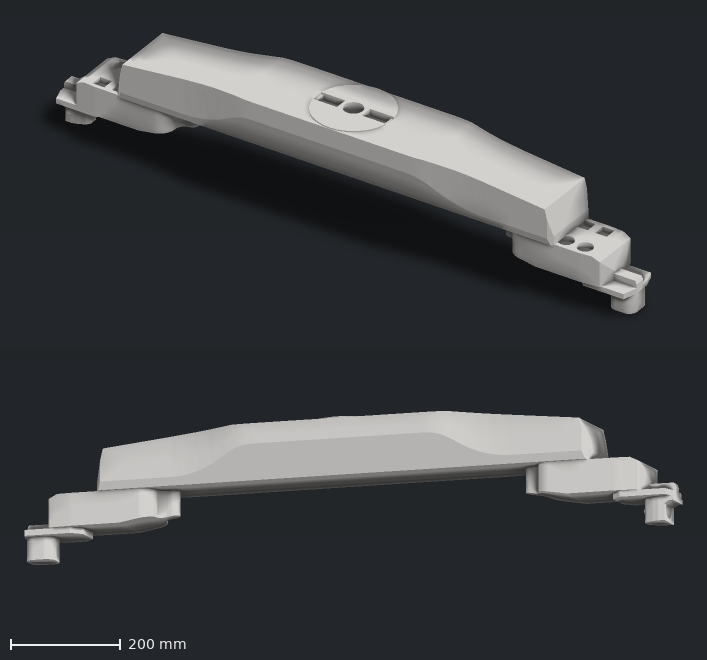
import cadquery as cq
import math


overall_height = 221.0
overall_length = 1257.1

beam_top = 102.0
beam_half_width = 82.0
beam_end_half_width = 66.25
beam_half_length = 474.5
beam_corner_chamfer = 9.0
beam_end_top_z = 76.0
beam_end_top_x = 460.5
beam_end_strip_top = 18.6
ridge_x = 206.5
swell_middle_x = 221.0
swell_start_x = 326.5
swell_end_x = 168.5
flank_low_z = 15.0
flank_high_z = 64.0

disc_diameter = 162.0
disc_top = 104.5
disc_thickness = 40.0
disc_bottom = disc_top - disc_thickness
disc_bore = 40.0
slot_width = 27.5
slot_inner_x = 27.0
slot_outer_x = 74.0
slot_depth = 16.0
slot_shelf_depth = 4.0

arm_half_width = 55.0
arm_bottom = -61.0
arm_tip_bottom = -45.0
arm_taper_start_x = -433.0
arm_tip_x = -335.2
arm_nose_x = -579.5
arm_nose_half_width = 14.0
arm_front_x = -571.0
arm_front_half_width = 51.0
arm_front_top_z = -8.0
arm_slope_bottom_z = -42.0
arm_bevel_x = -554.0
arm_cheek_x = -528.0
arm_cheek_blend_length = 4.0
arm_corner_fillet = 3.5
shoulder_x = -397.0
shoulder_radius = 27.0
neck_radius = 14.5
neck_half_width = 12.5
tip_corner_radius = 11.5
pocket_depth = 12.0
pocket_xs = (-526.0, -484.5)
round_pocket_diameter = 32.0
round_pocket_y = 31.0
square_pocket_side = 26.0
square_pocket_y = -33.5

plate_bottom = -72.0
plate_tip_x = -overall_length / 2
plate_front_x = -620.0
plate_side_end_x = -532.0
plate_inner_x = -513.0
plate_half_width = 45.4
plate_center_y = 2.0
rib_top = -46.0
rib_center_y = 6.0
rib_width = 22.0
rib_bevel_length = 3.0
rib_bevel_height = 7.0
plate_tip_half_width = rib_center_y + rib_width / 2

block_bottom = disc_top - overall_height
block_front_x = -612.0
block_back_x = -568.5
block_half_width = 26.0
block_cheek_end_x = -600.0
block_taper_middle_x = -588.5
block_taper_middle_half_width = 23.0
block_taper_end_x = -574.0
block_taper_end_half_width = 16.0
block_back_half_width = 8.0
lip_bottom = -80.0
lip_root_z = -86.0
lip_flat_x = -621.0
block_recess_diameter = 32.0
block_recess_depth = 2.0
cross_hole_diameter = 9.5
cross_hole_x = -604.5
cross_hole_depth = 10.0
pin_diameter = 10.0
pin_length = 3.0
pin_z = -94.0

post_bottom = -114.0
post_center_x = 600.0
post_length_x = 54.0
post_width_y = 55.0
post_corner_radius = 17.5


def tangent_arc_middle(start, end, start_angle):
    """Middle point of the arc from start to end that leaves start at start_angle."""
    dx = end[0] - start[0]
    dy = end[1] - start[1]
    half_turn = math.atan2(dy, dx) - start_angle
    sagitta = math.hypot(dx, dy) / 2 * math.tan(half_turn / 2)
    chord_angle = math.atan2(dy, dx)
    return (
        (start[0] + end[0]) / 2 + sagitta * math.sin(chord_angle),
        (start[1] + end[1]) / 2 - sagitta * math.cos(chord_angle),
    )


def make_beam_blank():
    """Plan outline of the beam with its S-curved sides, extruded to full height."""
    swell_rate = (beam_half_width - beam_end_half_width) / (swell_start_x - swell_end_x)
    middle_half_width = beam_half_width - swell_rate * (swell_middle_x - swell_end_x)

    start = (-swell_start_x, beam_end_half_width)
    middle = (-swell_middle_x, middle_half_width)
    end = (-swell_end_x, beam_half_width)
    middle_angle = 2 * math.atan(swell_rate)
    first_middle = tangent_arc_middle(start, middle, 0.0)
    second_middle = tangent_arc_middle(middle, end, middle_angle)

    corner_x = beam_half_length - beam_corner_chamfer
    corner_y = beam_end_half_width - beam_corner_chamfer
    quarter = (
        cq.Workplane("XY")
        .moveTo(0, 0)
        .lineTo(-beam_half_length, 0)
        .lineTo(-beam_half_length, corner_y)
        .lineTo(-corner_x, beam_end_half_width)
        .lineTo(*start)
        .threePointArc(first_middle, middle)
        .threePointArc(second_middle, end)
        .lineTo(0, beam_half_width)
        .close()
        .extrude(beam_top)
    )
    half = quarter.union(quarter.mirror("XZ"))
    return half.union(half.mirror("YZ"))


def make_beam():
    side_half = [
        (beam_half_length, 0),
        (beam_half_length, beam_end_strip_top),
        (beam_end_top_x, beam_end_top_z),
        (ridge_x, beam_top),
    ]
    side_outline = side_half + [(-x, z) for x, z in reversed(side_half)]
    side_prism = (
        cq.Workplane("XZ").polyline(side_outline).close().extrude(beam_half_width, both=True)
    )

    flank_slope = (beam_half_width - beam_end_half_width) / (flank_high_z - flank_low_z)
    bottom_half_width = beam_end_half_width - flank_slope * flank_low_z
    section_half = [
        (bottom_half_width, 0),
        (beam_half_width, flank_high_z),
        (beam_half_width, beam_top),
    ]
    section_outline = section_half + [(-y, z) for y, z in reversed(section_half)]
    section_prism = (
        cq.Workplane("YZ").polyline(section_outline).close().extrude(beam_half_length, both=True)
    )

    disc_recess = (
        cq.Workplane("XY")
        .workplane(offset=disc_bottom)
        .circle(disc_diameter / 2)
        .extrude(disc_thickness)
    )
    return make_beam_blank().intersect(side_prism).intersect(section_prism).cut(disc_recess)


def make_disc():
    disc = (
        cq.Workplane("XY")
        .workplane(offset=disc_bottom)
        .circle(disc_diameter / 2)
        .circle(disc_bore / 2)
        .extrude(disc_thickness)
    )
    slot_length = slot_outer_x - slot_inner_x
    slot_center_x = (slot_outer_x + slot_inner_x) / 2
    shelf_length = disc_diameter / 2 - slot_outer_x
    shelf_center_x = slot_outer_x + shelf_length / 2
    top = cq.Workplane("XY").workplane(offset=disc_top)
    slots = (
        top.pushPoints([(-slot_center_x, 0), (slot_center_x, 0)])
        .rect(slot_length, slot_width)
        .extrude(-slot_depth)
    )
    shelves = (
        top.pushPoints([(-shelf_center_x, 0), (shelf_center_x, 0)])
        .rect(shelf_length, slot_width)
        .extrude(-slot_shelf_depth)
    )
    return disc.cut(slots).cut(shelves)


def make_arm_plan():
    """Plan outline of the arm: blunt nose, tapered cheeks, rounded shoulders and round tip."""
    diagonal = math.sqrt(0.5)
    shoulder_end = (shoulder_x + shoulder_radius, arm_half_width - shoulder_radius)
    shoulder_middle = (
        shoulder_x + shoulder_radius * diagonal,
        shoulder_end[1] + shoulder_radius * diagonal,
    )
    neck_start = (shoulder_end[0], neck_half_width + neck_radius)
    neck_end = (shoulder_end[0] + neck_radius, neck_half_width)
    neck_middle = (
        neck_end[0] - neck_radius * diagonal,
        neck_start[1] - neck_radius * diagonal,
    )
    tip_start = (arm_tip_x - tip_corner_radius, neck_half_width)
    tip_end = (arm_tip_x, neck_half_width - tip_corner_radius)
    tip_middle = (
        tip_start[0] + tip_corner_radius * diagonal,
        tip_end[1] + tip_corner_radius * diagonal,
    )

    cheek_angle = math.atan2(arm_half_width - arm_front_half_width, arm_cheek_x - arm_front_x)
    blend_start = (
        arm_cheek_x - arm_cheek_blend_length * math.cos(cheek_angle),
        arm_half_width - arm_cheek_blend_length * math.sin(cheek_angle),
    )
    blend_end = (arm_cheek_x + arm_cheek_blend_length, arm_half_width)
    blend_middle = tangent_arc_middle(blend_start, blend_end, cheek_angle)

    half = (
        cq.Workplane("XY")
        .workplane(offset=arm_bottom)
        .moveTo(arm_nose_x, 0)
        .lineTo(arm_nose_x, arm_nose_half_width)
        .lineTo(arm_front_x, arm_front_half_width)
        .lineTo(*blend_start)
        .threePointArc(blend_middle, blend_end)
        .lineTo(shoulder_x, arm_half_width)
        .threePointArc(shoulder_middle, shoulder_end)
        .lineTo(*neck_start)
        .threePointArc(neck_middle, neck_end)
        .lineTo(*tip_start)
        .threePointArc(tip_middle, tip_end)
        .lineTo(arm_tip_x, 0)
        .close()
        .extrude(-arm_bottom)
    )
    arm = half.union(half.mirror("XZ"))

    def is_front_corner(edge):
        center = edge.Center()
        at_front = math.isclose(center.x, arm_front_x)
        return at_front and math.isclose(abs(center.y), arm_front_half_width)

    return arm.edges("|Z").filter(is_front_corner).fillet(arm_corner_fillet)


def make_arm():
    side_outline = [
        (arm_nose_x, arm_bottom),
        (arm_nose_x, arm_slope_bottom_z),
        (arm_front_x, arm_front_top_z),
        (arm_bevel_x, 0),
        (arm_tip_x, 0),
        (arm_tip_x, arm_tip_bottom),
        (arm_taper_start_x, arm_bottom),
    ]
    side_prism = (
        cq.Workplane("XZ").polyline(side_outline).close().extrude(arm_half_width, both=True)
    )
    round_pockets = (
        cq.Workplane("XY")
        .pushPoints([(x, round_pocket_y) for x in pocket_xs])
        .circle(round_pocket_diameter / 2)
        .extrude(-pocket_depth)
    )
    square_pockets = (
        cq.Workplane("XY")
        .pushPoints([(x, square_pocket_y) for x in pocket_xs])
        .rect(square_pocket_side, square_pocket_side)
        .extrude(-pocket_depth)
    )
    return make_arm_plan().intersect(side_prism).cut(round_pockets).cut(square_pockets)


def make_plate():
    """Plate under the arm, with a rib on top that runs from its tip to the arm's nose."""
    left = plate_center_y + plate_half_width
    right = plate_center_y - plate_half_width
    inner_chamfer = plate_inner_x - plate_side_end_x
    plan = [
        (plate_tip_x, plate_tip_half_width),
        (plate_front_x, left),
        (plate_side_end_x, left),
        (plate_inner_x, left - inner_chamfer),
        (plate_inner_x, right + inner_chamfer),
        (plate_side_end_x, right),
        (plate_front_x, right),
        (plate_tip_x, -plate_tip_half_width),
    ]
    plate = (
        cq.Workplane("XY")
        .workplane(offset=plate_bottom)
        .polyline(plan)
        .close()
        .extrude(arm_bottom - plate_bottom)
    )
    rib_outline = [
        (plate_tip_x, plate_bottom),
        (plate_tip_x, rib_top - rib_bevel_height),
        (plate_tip_x + rib_bevel_length, rib_top),
        (arm_nose_x, rib_top),
        (arm_nose_x, plate_bottom),
    ]
    rib = (
        cq.Workplane("XZ", origin=(0, rib_center_y, 0))
        .polyline(rib_outline)
        .close()
        .extrude(rib_width / 2, both=True)
    )
    return plate.union(rib)


def make_coupling_block():
    """Block with a tapered back, a lip under the plate tip, a round recess, a cross hole and a pin end."""
    half_plan = [
        (block_front_x, block_half_width),
        (block_cheek_end_x, block_half_width),
        (block_taper_middle_x, block_taper_middle_half_width),
        (block_taper_end_x, block_taper_end_half_width),
        (block_back_x, block_back_half_width),
    ]
    plan = half_plan + [(x, -y) for x, y in reversed(half_plan)]
    body = (
        cq.Workplane("XY", origin=(0, plate_center_y, block_bottom))
        .polyline(plan)
        .close()
        .extrude(plate_bottom - block_bottom)
    )
    lip_outline = [
        (block_front_x, plate_bottom),
        (plate_tip_x, plate_bottom),
        (plate_tip_x, lip_bottom),
        (lip_flat_x, lip_bottom),
        (block_front_x, lip_root_z),
    ]
    lip = (
        cq.Workplane("XZ", origin=(0, plate_center_y, 0))
        .polyline(lip_outline)
        .close()
        .extrude(block_half_width, both=True)
    )
    recess = (
        cq.Workplane("YZ", origin=(block_front_x, plate_center_y, pin_z))
        .circle(block_recess_diameter / 2)
        .extrude(block_recess_depth)
    )
    pin_end = (
        cq.Workplane("YZ", origin=(block_back_x - pin_length, plate_center_y, pin_z))
        .circle(pin_diameter / 2)
        .extrude(2 * pin_length)
    )
    cross_hole = (
        cq.Workplane("XZ", origin=(cross_hole_x, plate_center_y - block_half_width, pin_z))
        .circle(cross_hole_diameter / 2)
        .extrude(-cross_hole_depth)
    )
    return body.cut(recess).cut(cross_hole).union(lip).union(pin_end)


def make_coupling_post():
    return (
        cq.Workplane("XY")
        .workplane(offset=post_bottom)
        .center(post_center_x, -plate_center_y)
        .rect(post_length_x, post_width_y)
        .extrude(plate_bottom - post_bottom)
        .edges("|Z")
        .fillet(post_corner_radius)
    )


def at_end(body, turn):
    """Turn a body made for the -X end about Z to its own end."""
    return body.rotate((0, 0, 0), (0, 0, 1), turn)


beam = make_beam()
disc = make_disc()
bodies = [beam.val(), disc.val()]
for end_turn in (0, 180):
    bodies.append(at_end(make_arm(), end_turn).val())
    bodies.append(at_end(make_plate(), end_turn).val())
coupling_block = make_coupling_block()
coupling_post = make_coupling_post()

result = cq.Compound.makeCompound(bodies + [coupling_block.val(), coupling_post.val()])